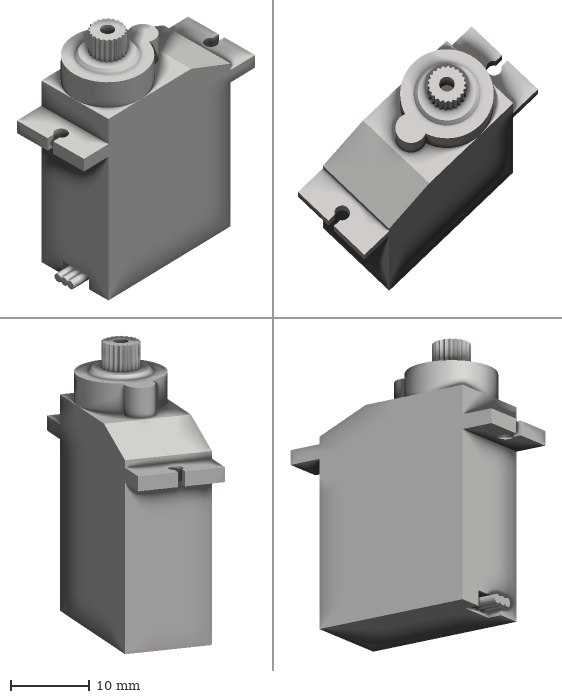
import cadquery as cq
import math

case_width = 12.0
case_length = 22.5
total_length = 31.5
total_height = 36.8
front_y = -case_width / 2
back_y = front_y + case_length

cover_top = 3.05
middle_top = 19.8
lug_thickness = 2.0
shaft_height = 3.5
collar_height = 0.5
tower_height = 4.0
collar_top = total_height - shaft_height
tower_top = collar_top - collar_height
case_top = tower_top - tower_height
slope_low = 25.8
slope_length = 7.3
lug_top = 24.8

lug_length = (total_length - case_length) / 2
lug_hole_diameter = 2.0
lug_hole_inset = 2.0
lug_slot_width = 1.0

tower_diameter = case_width
lobe_diameter = 4.0
lobe_offset = 6.5

collar_diameter = 8.55
collar_bevel_angle = 45
collar_bore_diameter = 4.5

tooth_count = 22
spline_tip_diameter = 5.0
spline_root_diameter = 4.4
journal_diameter = spline_root_diameter
shaft_bore_diameter = 2.0

notch_width = 5.0
notch_height = 2.1
notch_depth = 2.0
wire_count = 3
wire_diameter = 1.2
wire_pitch = 1.1
wire_height = 1.0
cable_overhang = 2.0


def block(y_start, y_end, z_start, z_end, width=case_width):
    """Box centred on X between the given Y and Z limits."""
    size_y = y_end - y_start
    size_z = z_end - z_start
    corner = (-width / 2, y_start, z_start)
    return cq.Workplane("XY").box(width, size_y, size_z, centered=False).translate(corner)


def cylinder(diameter, z_start, z_end, y=0.0):
    """Upright cylinder on the plane X = 0."""
    base = cq.Workplane("XY").workplane(offset=z_start).center(0, y)
    return base.circle(diameter / 2).extrude(z_end - z_start)


def make_bottom_cover():
    cover = block(front_y, back_y, 0, cover_top)
    notch = block(front_y, front_y + notch_depth, 0, notch_height, notch_width)
    return cover.cut(notch)


def make_middle_case():
    return block(front_y, back_y, cover_top, middle_top)


def make_lug(edge_y, outward):
    """Lug on the case wall at edge_y; outward is the sign of its Y direction."""
    outer_y = edge_y + outward * lug_length
    hole_y = outer_y - outward * lug_hole_inset
    bottom = lug_top - lug_thickness
    lug = block(min(edge_y, outer_y), max(edge_y, outer_y), bottom, lug_top)
    hole = cylinder(lug_hole_diameter, bottom, lug_top, hole_y)
    slot = block(min(hole_y, outer_y), max(hole_y, outer_y), bottom, lug_top, lug_slot_width)
    return lug.cut(hole).cut(slot)


def make_upper_case():
    profile = [
        (front_y, middle_top),
        (back_y, middle_top),
        (back_y, slope_low),
        (back_y - slope_length, case_top),
        (front_y, case_top),
    ]
    shell = cq.Workplane("YZ").polyline(profile).close().extrude(case_width / 2, both=True)
    tower = cylinder(tower_diameter, case_top, tower_top)
    lobe = cylinder(lobe_diameter, case_top, tower_top, lobe_offset)
    shell = shell.union(tower.union(lobe))
    return shell.union(make_lug(front_y, -1)).union(make_lug(back_y, 1))


def make_collar():
    base = cq.Workplane("XY").workplane(offset=tower_top).circle(collar_diameter / 2)
    ring = base.extrude(collar_height, taper=collar_bevel_angle)
    return ring.cut(cylinder(collar_bore_diameter, tower_top, collar_top))


def make_output_shaft():
    half_pitch = math.pi / tooth_count
    outline = []
    for step in range(2 * tooth_count):
        diameter = spline_root_diameter if step % 2 else spline_tip_diameter
        angle = step * half_pitch
        outline.append((diameter / 2 * math.cos(angle), diameter / 2 * math.sin(angle)))
    base = cq.Workplane("XY").workplane(offset=collar_top)
    spline = base.polyline(outline).close().extrude(shaft_height)
    journal = cylinder(journal_diameter, tower_top, collar_top)
    bore = cylinder(shaft_bore_diameter, collar_top, total_height)
    return spline.union(journal).cut(bore)


def make_cable():
    start_y = front_y + notch_depth
    length = notch_depth + cable_overhang
    first_x = -(wire_count - 1) / 2 * wire_pitch
    for index in range(wire_count):
        origin = (first_x + index * wire_pitch, start_y, wire_height)
        wire = cq.Workplane("XZ", origin=origin).circle(wire_diameter / 2).extrude(length)
        cable = cable.union(wire) if index else wire
    return cable


bottom_cover = make_bottom_cover()
middle_case = make_middle_case()
upper_case = make_upper_case()
collar = make_collar()
output_shaft = make_output_shaft()
cable = make_cable()

result = cq.Compound.makeCompound([
    bottom_cover.val(),
    middle_case.val(),
    upper_case.val(),
    collar.val(),
    output_shaft.val(),
    cable.val(),
])